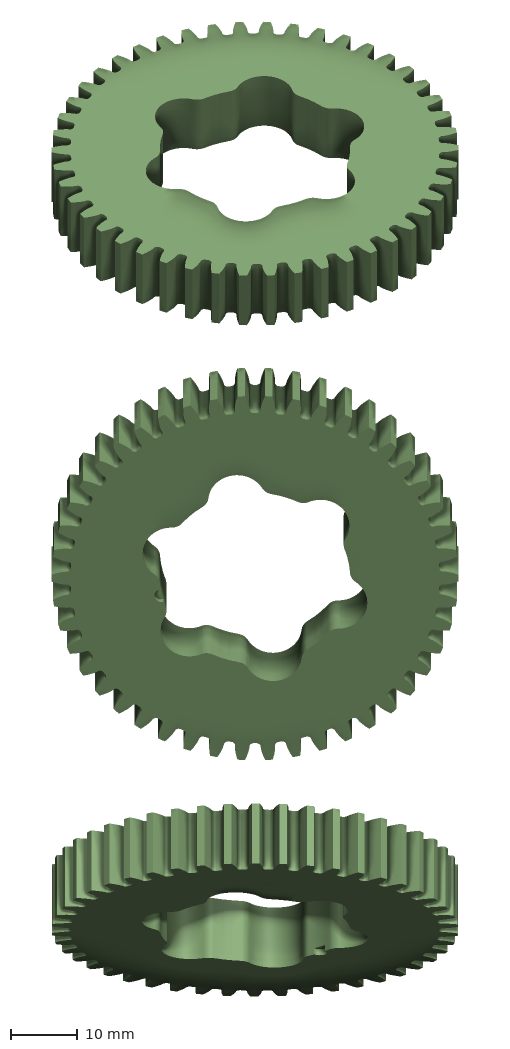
import cadquery as cq
import math

teeth = 46
outside_radius = 30.5
pressure_angle = math.radians(14.5)
thickness = 9.5
dedendum_factor = 1.25
module = 2 * outside_radius / (teeth + 2)
pitch_radius = module * teeth / 2
root_radius = pitch_radius - dedendum_factor * module
base_radius = pitch_radius * math.cos(pressure_angle)
tooth_pitch_angle = 2 * math.pi / teeth
backlash = 0.075
flank_sections = 4
root_fillet = 0.6

bore_radius = 14.25
lobe_count = 6
lobe_radius = 4.3
lobe_offset = 13.15
lobe_blend = 2.0

notch_radius = 1.1
notch_depth = 1.0


def polar(radius, angle):
    """X and Y of a point at a radius and an angle from +X."""
    return (radius * math.cos(angle), radius * math.sin(angle))


def involute(angle):
    """Involute function of a pressure angle."""
    return math.tan(angle) - angle


def half_tooth_angle(radius):
    """Angle from the tooth centreline to its involute flank at a radius."""
    local_pressure_angle = math.acos(base_radius / radius)
    half_angle_at_pitch = math.pi / (2 * teeth) - backlash / (2 * pitch_radius)
    return half_angle_at_pitch + involute(pressure_angle) - involute(local_pressure_angle)


def flank(centre, side):
    """Involute flank edge; it leaves the base circle along a radius."""
    tip_pressure_angle = math.acos(base_radius / outside_radius)
    points = []
    for i in range(flank_sections + 1):
        radius = base_radius / math.cos(tip_pressure_angle * i / flank_sections)
        points.append(cq.Vector(*polar(radius, centre + side * half_tooth_angle(radius))))
    base_direction = centre + side * half_tooth_angle(base_radius)
    tip_direction = base_direction - side * math.tan(tip_pressure_angle)
    tangents = [cq.Vector(*polar(1, angle)) for angle in (base_direction, tip_direction)]
    return cq.Edge.makeSpline(points, tangents=tangents)


def arc(radius, start, end):
    """Arc about the gear axis between two angles."""
    points = [cq.Vector(*polar(radius, angle)) for angle in (start, (start + end) / 2, end)]
    return cq.Edge.makeThreePointArc(*points)


def radial_line(angle):
    """Straight lower flank between the root and base circles."""
    return cq.Edge.makeLine(
        cq.Vector(*polar(root_radius, angle)), cq.Vector(*polar(base_radius, angle))
    )


def gear_blank():
    """Toothed disc with one tooth centred on +Y and rounded tooth roots."""
    base_half = half_tooth_angle(base_radius)
    tip_half = half_tooth_angle(outside_radius)
    edges = []
    for i in range(teeth):
        centre = math.pi / 2 + i * tooth_pitch_angle
        next_tooth = centre + tooth_pitch_angle
        edges += [
            radial_line(centre - base_half),
            flank(centre, -1),
            arc(outside_radius, centre - tip_half, centre + tip_half),
            flank(centre, 1),
            radial_line(centre + base_half),
            arc(root_radius, centre + base_half, next_tooth - base_half),
        ]
    outline = cq.Wire.assembleEdges(edges)
    blank = cq.Workplane("XY").add(outline).toPending().extrude(thickness)
    root_limit = (base_radius + root_radius) / 2
    root_corners = [
        edge
        for edge in blank.edges("|Z").vals()
        if math.hypot(edge.Center().x, edge.Center().y) < root_limit
    ]
    return blank.newObject(root_corners).fillet(root_fillet)


def lobed_bore():
    """Round bore joined by six round lobes, the first on +Y, with blended corners."""
    core = cq.Workplane("XY").circle(bore_radius).extrude(thickness)
    lobes = (
        cq.Workplane("XY")
        .polarArray(lobe_offset, 90, 360, lobe_count)
        .circle(lobe_radius)
        .extrude(thickness)
    )
    return core.union(lobes).edges("|Z").fillet(lobe_blend)


def index_notch():
    """Shallow round notch centred on the bore wall."""
    return cq.Workplane("XY").center(bore_radius, 0).circle(notch_radius).extrude(notch_depth)


result = gear_blank().cut(lobed_bore()).cut(index_notch())